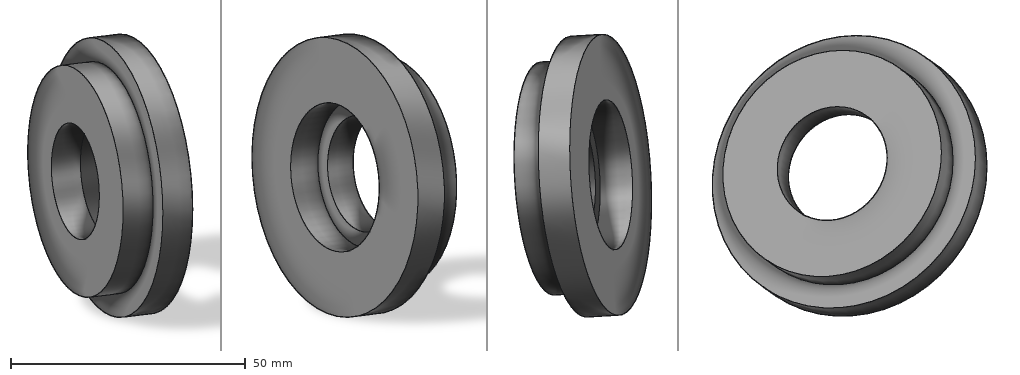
import cadquery as cq

flange_diameter = 60.0
boss_diameter = 49.8
bore_diameter = 25.0
counterbore_diameter = 32.0
counterbore_depth = 7.2
total_thickness = 14.0
flange_thickness = total_thickness / 2


def disc(diameter, thickness):
    """Disc whose back face lies on Y = 0 and which extends toward -Y."""
    return cq.Workplane("XZ").circle(diameter / 2).extrude(thickness)


flange = disc(flange_diameter, flange_thickness)
boss = disc(boss_diameter, total_thickness)
bore = disc(bore_diameter, total_thickness)
counterbore = disc(counterbore_diameter, counterbore_depth)

result = flange.union(boss).cut(bore).cut(counterbore)